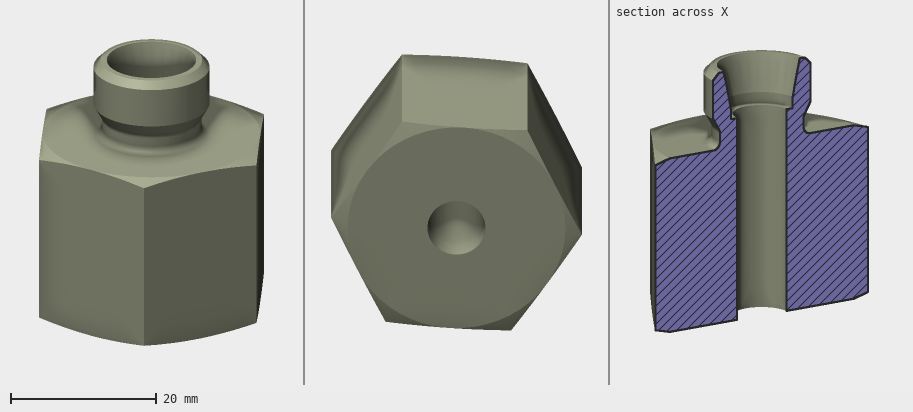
import cadquery as cq
import math

total_height = 36.0
hex_height = 25.0
across_flats = 30.0
hex_chamfer_angle = 15.0

thread_diameter = 16.0
thread_chamfer = 1.0
neck_diameter = 13.7
undercut_width = 4.55
undercut_angle = 30.0
undercut_radius = 1.0

bore_diameter = 8.0
socket_diameter = 10.0
socket_depth = 7.0
cone_mouth_diameter = 12.3
cone_half_angle = 12.0


def tan_deg(angle):
    return math.tan(math.radians(angle))


def make_hexagon():
    """Hexagonal body with corners on Y, cone-chamfered at both ends."""
    across_corners = across_flats / math.cos(math.radians(30))
    flat_radius = across_flats / 2
    corner_radius = across_corners / 2
    corner_drop = (corner_radius - flat_radius) * tan_deg(hex_chamfer_angle)
    prism = (
        cq.Workplane("XY")
        .polygon(6, across_corners)
        .extrude(hex_height)
        .rotate((0, 0, 0), (0, 0, 1), 30)
    )
    chamfer_envelope = (
        cq.Workplane("XZ")
        .moveTo(0, 0)
        .lineTo(flat_radius, 0)
        .lineTo(corner_radius, corner_drop)
        .lineTo(corner_radius, hex_height - corner_drop)
        .lineTo(flat_radius, hex_height)
        .lineTo(0, hex_height)
        .close()
        .revolve(360, (0, 0, 0), (0, 1, 0))
    )
    return prism.intersect(chamfer_envelope)


def make_spigot():
    """Threaded end, with a rounded undercut where it meets the hexagon."""
    neck_radius = neck_diameter / 2
    thread_radius = thread_diameter / 2
    arc_center_x = neck_radius + undercut_radius

    def arc_x(angle):
        return arc_center_x - undercut_radius * math.cos(math.radians(angle))

    def arc_rise(angle):
        return undercut_radius * math.sin(math.radians(angle))

    cone_top = hex_height + undercut_width
    cone_height = (thread_radius - arc_x(undercut_angle)) / tan_deg(undercut_angle)
    cone_bottom = cone_top - cone_height
    upper_arc_start = cone_bottom - arc_rise(undercut_angle)
    lower_arc_end = hex_height + undercut_radius

    return (
        cq.Workplane("XZ")
        .moveTo(0, hex_height)
        .lineTo(arc_center_x, hex_height)
        .threePointArc((arc_x(45), lower_arc_end - arc_rise(45)), (neck_radius, lower_arc_end))
        .lineTo(neck_radius, upper_arc_start)
        .threePointArc(
            (arc_x(undercut_angle / 2), upper_arc_start + arc_rise(undercut_angle / 2)),
            (arc_x(undercut_angle), cone_bottom),
        )
        .lineTo(thread_radius, cone_top)
        .lineTo(thread_radius, total_height - thread_chamfer)
        .lineTo(thread_radius - thread_chamfer, total_height)
        .lineTo(0, total_height)
        .close()
        .revolve(360, (0, 0, 0), (0, 1, 0))
    )


def make_passage():
    """Through bore, tube socket and conical mouth."""
    bore_radius = bore_diameter / 2
    socket_radius = socket_diameter / 2
    mouth_radius = cone_mouth_diameter / 2
    cone_depth = (mouth_radius - socket_radius) / tan_deg(cone_half_angle)
    socket_floor = total_height - socket_depth
    return (
        cq.Workplane("XZ")
        .moveTo(0, 0)
        .lineTo(bore_radius, 0)
        .lineTo(bore_radius, socket_floor)
        .lineTo(socket_radius, socket_floor)
        .lineTo(socket_radius, total_height - cone_depth)
        .lineTo(mouth_radius, total_height)
        .lineTo(0, total_height)
        .close()
        .revolve(360, (0, 0, 0), (0, 1, 0))
    )


result = make_hexagon().union(make_spigot()).cut(make_passage())